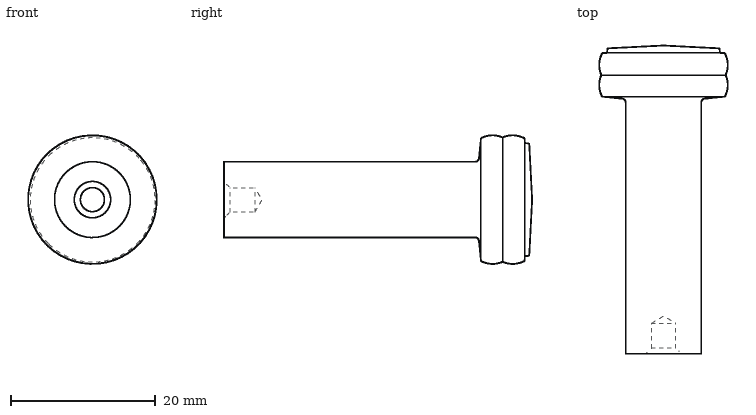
import cadquery as cq
import math

length = 42.6
back = length / 2
front = -length / 2

shank_radius = 5.25
shank_fillet = 0.5

cap_radius = 7.8
cap_rise = 0.4
rim_round = 0.25
rim_depth = 0.25
cap_fillet = 0.13
cap_depth = 1.02

head_radius = 8.9
waist_radius = 8.6
bead_start = 1.3
bead_width = 2.75
bead_count = 2
edge_round = 0.4
edge_depth = 0.25
cone_height = 0.25

hole_radius = 1.65
countersink_radius = 2.5
countersink_angle = 90.0
hole_depth = 4.25
drill_point_angle = 118.0


def cone_length(radial_step, included_angle):
    """Axial length of a cone over the given change in radius."""
    return radial_step / math.tan(math.radians(included_angle / 2))


def make_body():
    """Revolve the outer profile: radius along X, axis along Y."""
    cap_edge = back - cap_rise
    rear_face = back - cap_depth
    first_bead = back - bead_start
    bead_end = first_bead - bead_count * bead_width
    face_edge = bead_end - edge_depth
    face_radius = waist_radius - edge_round
    fillet_top = face_edge - cone_height
    diagonal = math.sqrt(0.5)

    cap_edge_radius = cap_radius - rim_round

    profile = (
        cq.Workplane("XY")
        .moveTo(0, back)
        .lineTo(cap_edge_radius, cap_edge)
        .threePointArc(
            (cap_edge_radius + rim_round * diagonal, cap_edge - rim_depth * (1 - diagonal)),
            (cap_radius, cap_edge - rim_depth),
        )
        .lineTo(cap_radius, rear_face + cap_fillet)
        .threePointArc(
            (cap_radius + cap_fillet * (1 - diagonal), rear_face + cap_fillet * (1 - diagonal)),
            (cap_radius + cap_fillet, rear_face),
        )
        .lineTo(face_radius, rear_face)
        .threePointArc(
            (face_radius + edge_round * diagonal, first_bead + (rear_face - first_bead) * diagonal),
            (waist_radius, first_bead),
        )
    )
    for bead in range(bead_count):
        bead_top = first_bead - bead * bead_width
        profile = profile.threePointArc(
            (head_radius, bead_top - bead_width / 2),
            (waist_radius, bead_top - bead_width),
        )
    profile = (
        profile.threePointArc(
            (face_radius + edge_round * diagonal, bead_end - edge_depth * diagonal),
            (face_radius, face_edge),
        )
        .lineTo(shank_radius + shank_fillet, fillet_top)
        .threePointArc(
            (
                shank_radius + shank_fillet * (1 - diagonal),
                fillet_top - shank_fillet * (1 - diagonal),
            ),
            (shank_radius, fillet_top - shank_fillet),
        )
        .lineTo(shank_radius, front)
        .lineTo(0, front)
        .close()
    )
    return profile.revolve(360, (0, 0), (0, 1))


def make_center_hole():
    """Countersunk blind hole with a conical drill point."""
    countersink_end = front + cone_length(countersink_radius - hole_radius, countersink_angle)
    wall_end = front + hole_depth
    tip = wall_end + cone_length(hole_radius, drill_point_angle)
    return (
        cq.Workplane("XY")
        .moveTo(0, front)
        .lineTo(countersink_radius, front)
        .lineTo(hole_radius, countersink_end)
        .lineTo(hole_radius, wall_end)
        .lineTo(0, tip)
        .close()
        .revolve(360, (0, 0), (0, 1))
    )


result = make_body().cut(make_center_hole())